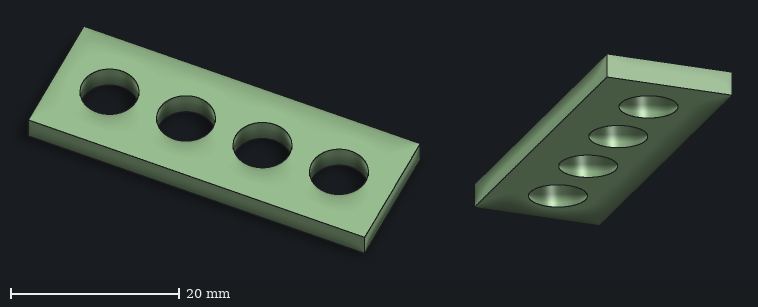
import cadquery as cq

length = 44.0
width = 16.0
thickness = 3.0

hole_diameter = 7.0
hole_count = 4
hole_pitch = 10.0


def make_plate():
    """Flat rectangular plate, centred in X and Y and resting on Z = 0."""
    return cq.Workplane("XY").box(length, width, thickness, centered=(True, True, False))


def cut_hole_row(plate):
    """Cut the evenly spaced through holes along the plate's length."""
    return (
        plate.faces(">Z")
        .workplane()
        .rarray(hole_pitch, width, hole_count, 1)
        .hole(hole_diameter)
    )


result = cut_hole_row(make_plate())